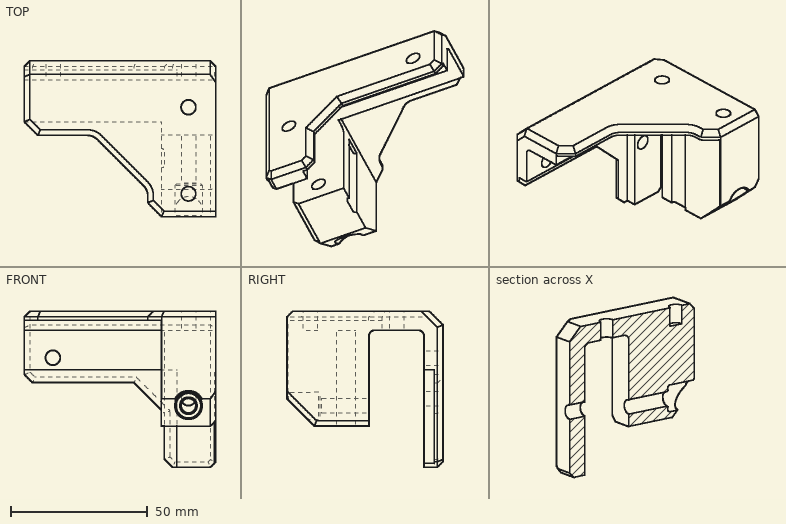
import cadquery as cq

LENGTH = 70.0
DEPTH = 57.0
HEIGHT = 57.0

PROFILE = 20.0
WALL = 7.0
LIP = 3.3
CHANNEL_BACK = DEPTH - WALL
CHANNEL_FRONT = CHANNEL_BACK - PROFILE
CHANNEL_TOP = HEIGHT - WALL
CHANNEL_FILLET = 2.0

BACK_BEVEL = 5.0
EDGE_BEVEL = 2.1

PLATE_FRONT = 29.7
PLATE_CORNER = 5.0
PLATE_BEND_X = 25.2
PLATE_NECK_X = 45.1
PLATE_FOOT_X = 50.2
TOE_Y = PLATE_FOOT_X - PLATE_NECK_X
BEND_RADIUS = 5.0
TOE_RADIUS = 1.9

ARM_BOTTOM = 30.9
ARM_CORNER = 3.0
ARM_BEND_X = 40.0
LEG_LEFT = 51.1
LEG_CORNER = 2.0
WALL_LIP_WIDTH = 4.7
LEG_RIGHT_STEP = 0.5

COLUMN_LEFT = LENGTH - PROFILE
COLUMN_BOTTOM = 15.0
COLUMN_BEVEL = 10.0
COLUMN_SIDE_BEVEL = 2.0

GROOVE_FRONT = 18.0
GROOVE_WIDTH = 7.0
GROOVE_DEPTH = 1.15
GROOVE_FILLET = 1.0

SCREW_RADIUS = 2.65
COLUMN_X = LENGTH - PROFILE / 2
CHANNEL_MIDDLE_Y = CHANNEL_BACK - PROFILE / 2
CHANNEL_MIDDLE_Z = CHANNEL_TOP - PROFILE / 2
ARM_HOLE_X = 10.5
LEG_HOLE_Z = 25.2
BLIND_HOLE_Y = 8.4
BLIND_HOLE_DEPTH = 7.0

BORE_Z = 22.5
BORE_RADIUS = 5.0
BORE_FLOOR = 12.0
BORE_BEVEL = 0.5

TINY = 0.01


def box(x0, x1, y0, y1, z0, z1):
    return cq.Workplane("XY").box(x1 - x0, y1 - y0, z1 - z0, centered=False).translate((x0, y0, z0))


def vertical_edge_at(x, y):
    return cq.selectors.BoxSelector((x - TINY, y - TINY, -HEIGHT), (x + TINY, y + TINY, 2 * HEIGHT))


def top_plate(thickness):
    neck_top = PLATE_FRONT + PLATE_BEND_X - PLATE_NECK_X
    plate = (
        cq.Workplane("XY", origin=(0, 0, HEIGHT - thickness))
        .moveTo(0, DEPTH)
        .lineTo(0, PLATE_FRONT + PLATE_CORNER)
        .lineTo(PLATE_CORNER, PLATE_FRONT)
        .lineTo(PLATE_BEND_X, PLATE_FRONT)
        .lineTo(PLATE_NECK_X, neck_top)
        .lineTo(PLATE_NECK_X, TOE_Y)
        .lineTo(PLATE_FOOT_X, 0)
        .lineTo(LENGTH, 0)
        .lineTo(LENGTH, DEPTH)
        .close()
        .extrude(thickness)
    )
    for x, y in ((PLATE_BEND_X, PLATE_FRONT), (PLATE_NECK_X, neck_top)):
        plate = plate.edges(vertical_edge_at(x, y)).fillet(BEND_RADIUS)
    return plate


def wall_blank(thickness):
    leg_top = ARM_BOTTOM + ARM_BEND_X - LEG_LEFT
    return (
        cq.Workplane("XZ", origin=(0, DEPTH, 0))
        .moveTo(0, HEIGHT)
        .lineTo(0, ARM_BOTTOM + ARM_CORNER)
        .lineTo(ARM_CORNER, ARM_BOTTOM)
        .lineTo(ARM_BEND_X, ARM_BOTTOM)
        .lineTo(LEG_LEFT, leg_top)
        .lineTo(LEG_LEFT, ARM_CORNER)
        .lineTo(LEG_LEFT + ARM_CORNER, 0)
        .lineTo(LENGTH - LEG_CORNER, 0)
        .lineTo(LENGTH, LEG_CORNER)
        .lineTo(LENGTH, HEIGHT)
        .close()
        .extrude(thickness)
    )


def back_wall():
    arm = box(0, LENGTH, 0, DEPTH, ARM_BOTTOM + WALL_LIP_WIDTH, HEIGHT)
    leg = box(LEG_LEFT + WALL_LIP_WIDTH, LENGTH - LEG_RIGHT_STEP, 0, DEPTH, 0, HEIGHT)
    return wall_blank(LIP).union(wall_blank(WALL).intersect(arm.union(leg)))


def column():
    block = box(COLUMN_LEFT, LENGTH, 0, CHANNEL_FRONT, COLUMN_BOTTOM, CHANNEL_TOP + TINY)
    block = block.edges("<Y and <Z").chamfer(COLUMN_BEVEL)
    right_bottom = block.edges(">X").edges("<Z")
    right_slope = block.faces(">X").edges("not(|Y or |Z)")
    return right_bottom.add(right_slope).chamfer(COLUMN_SIDE_BEVEL)


def channel_fillet(y, toward_middle):
    size = CHANNEL_FILLET
    left = 0 if y == CHANNEL_BACK else COLUMN_LEFT
    return (
        cq.Workplane("YZ", origin=(left, 0, 0))
        .moveTo(y, CHANNEL_TOP)
        .lineTo(y + toward_middle * size, CHANNEL_TOP)
        .radiusArc((y, CHANNEL_TOP - size), -toward_middle * size)
        .close()
        .extrude(LENGTH - left)
    )


def groove():
    cut = box(
        COLUMN_LEFT, COLUMN_LEFT + GROOVE_DEPTH,
        GROOVE_FRONT, GROOVE_FRONT + GROOVE_WIDTH,
        COLUMN_BOTTOM, CHANNEL_TOP,
    )
    return cut.edges("|Z and >X").fillet(GROOVE_FILLET)


def drill(x, y, z, direction, depth):
    return cq.Workplane(cq.Solid.makeCylinder(SCREW_RADIUS, depth, cq.Vector(x, y, z), cq.Vector(*direction)))


def counterbored_hole():
    profile = [
        (0, 0),
        (BORE_RADIUS + BORE_BEVEL, 0),
        (BORE_RADIUS, BORE_BEVEL),
        (BORE_RADIUS, BORE_FLOOR - BORE_BEVEL),
        (BORE_RADIUS - BORE_BEVEL, BORE_FLOOR),
        (SCREW_RADIUS + BORE_BEVEL, BORE_FLOOR),
        (SCREW_RADIUS, BORE_FLOOR + BORE_BEVEL),
        (SCREW_RADIUS, CHANNEL_FRONT),
        (0, CHANNEL_FRONT),
    ]
    turned = cq.Workplane("XY").polyline(profile).close().revolve(360, (0, 0, 0), (0, 1, 0))
    return turned.translate((COLUMN_X, 0, BORE_Z))


def thick_plate():
    rear = box(0, LENGTH, PLATE_FRONT + PLATE_CORNER, DEPTH, 0, HEIGHT)
    right = box(COLUMN_LEFT, LENGTH, 0, DEPTH, 0, HEIGHT)
    return top_plate(WALL).intersect(rear.union(right))


def beveled_shell():
    shell = top_plate(LIP).union(thick_plate()).union(back_wall())
    shell = shell.edges(">Y and >Z").chamfer(BACK_BEVEL)
    slope = cq.selectors.DirectionMinMaxSelector(cq.Vector(0, 1, 1), True)
    top_edges = shell.faces(">Z").edges("not(>X or >Y)")
    back_edges = shell.faces(">Y").edges("not >Z")
    slope_ends = shell.faces(slope).edges("not |X")
    return top_edges.add(back_edges).add(slope_ends).chamfer(EDGE_BEVEL)


def rounded_outline():
    return top_plate(HEIGHT).edges(vertical_edge_at(PLATE_NECK_X, TOE_Y)).fillet(TOE_RADIUS)


def screw_holes():
    up = (0, 0, 1)
    down = (0, 0, -1)
    back = (0, 1, 0)
    return [
        drill(COLUMN_X, CHANNEL_MIDDLE_Y, CHANNEL_TOP, up, WALL),
        drill(COLUMN_X, BLIND_HOLE_Y, HEIGHT, down, BLIND_HOLE_DEPTH),
        drill(ARM_HOLE_X, CHANNEL_BACK, CHANNEL_MIDDLE_Z, back, WALL),
        drill(COLUMN_X, CHANNEL_BACK, LEG_HOLE_Z, back, WALL),
    ]


body = beveled_shell().union(column())
body = body.intersect(rounded_outline())
body = body.union(channel_fillet(CHANNEL_BACK, -1)).union(channel_fillet(CHANNEL_FRONT, 1))
body = body.cut(groove()).cut(counterbored_hole())
for hole in screw_holes():
    body = body.cut(hole)

result = body